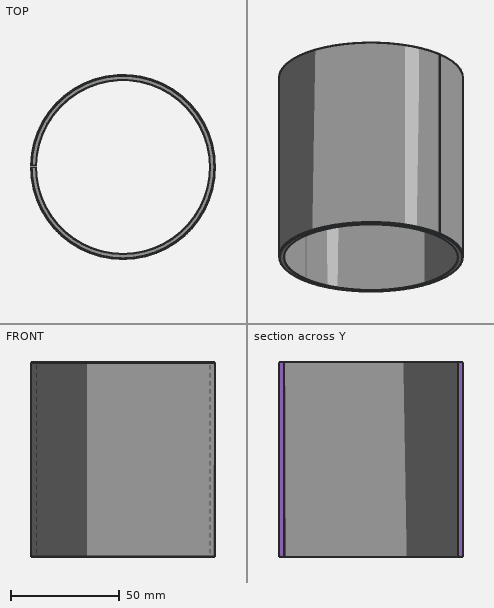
import cadquery as cq
import math

outer_diameter = 85.0
inner_diameter = 80.0
length = 90.0

outer_bevel_depth = 0.5
outer_bevel_height = 0.5
inner_bevel_depth = 0.2
inner_bevel_height = 0.2

gap_angle = 1.0

outer_radius = outer_diameter / 2
inner_radius = inner_diameter / 2
half_length = length / 2


def make_sleeve():
    """Revolve the bevelled wall section about Z, centred on the origin."""
    outer_land = half_length - outer_bevel_height
    inner_land = half_length - inner_bevel_height
    end_face_outer = outer_radius - outer_bevel_depth
    end_face_inner = inner_radius + inner_bevel_depth
    section = (
        cq.Workplane("XZ")
        .moveTo(inner_radius, -inner_land)
        .lineTo(end_face_inner, -half_length)
        .lineTo(end_face_outer, -half_length)
        .lineTo(outer_radius, -outer_land)
        .lineTo(outer_radius, outer_land)
        .lineTo(end_face_outer, half_length)
        .lineTo(end_face_inner, half_length)
        .lineTo(inner_radius, inner_land)
        .close()
    )
    return section.revolve(360, (0, 0, 0), (0, 1, 0))


def make_gap():
    """Full-length wedge cutter through the -X wall, opening from the bore axis toward +Y."""
    reach = 2 * outer_radius
    return (
        cq.Workplane("XY")
        .workplane(offset=-half_length)
        .lineTo(-reach, 0)
        .lineTo(-reach, reach * math.tan(math.radians(gap_angle)))
        .close()
        .extrude(length)
    )


result = make_sleeve().cut(make_gap())